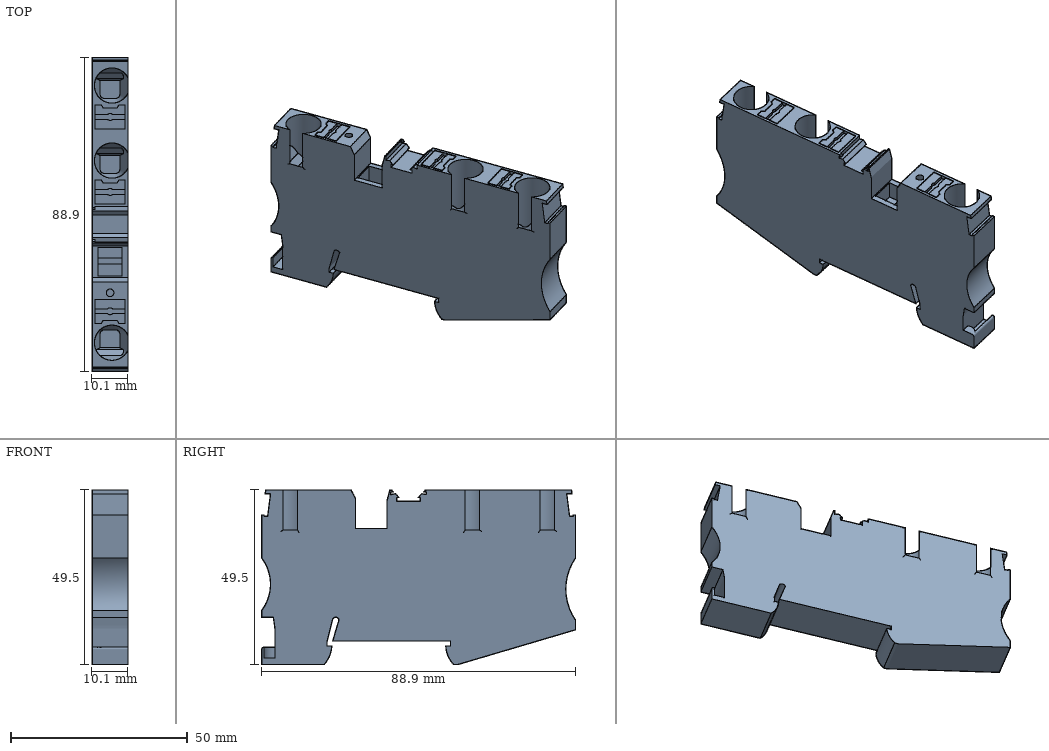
import cadquery as cq


width = 10.1
length = 88.9
height = 49.5
half_width = width / 2
half_length = length / 2

top_end = 43.3
overhang_end = 43.5
overhang_bottom = 48.4
recess_top_end = 42.0
recess_bottom_end = 42.8
shoulder_floor = 42.05
shoulder_lip_end = 43.7
shoulder_top = 42.4
grip_top = 30.2

rear_grip_bottom = 12.6
rear_grip_end = 41.7
front_grip_bottom = 15.4
front_grip_end = 42.0

slant_top = 9.9
slant_end = 11.0
rail_ceiling = 6.7
claw_top = 5.3
claw_middle_height = 2.1
rear_claw_tip = 7.65
rear_claw_middle = 8.45
rear_claw_heel = 10.0
rear_claw_groove = 9.0
front_claw_tip = -24.5
front_claw_middle = -25.3
front_claw_heel = -26.8
release_slot_mouth = -24.4
release_slot_rear = -22.6
release_slot_front = -24.4
release_slot_shoulder = 12.7
release_slot_top = 13.4
front_claw_groove = -25.9

notch_ceiling = 13.4
notch_knee = 11.0
notch_wall_top = 10.1
notch_floor = 5.0
notch_back = -40.7
notch_knee_back = -40.8
notch_ceiling_back = -41.2
notch_lip_rounding = 0.7
notch_lip_edge = notch_lip_rounding - half_length
notch_fin = 2.2
notch_fin_bulge = 0.3
notch_fin_bulge_offset = 0.9
notch_fin_lip = 1.4
notch_well_depth = 3.1

channel_center = -2.85
channel_mouth = 5.0
channel_ledge = 48.2
channel_step = 3.7
channel_step_top = 48.45
channel_lip_tip = 2.7
channel_lip_bottom = 47.3
channel_wall = 3.3
channel_floor = 46.3
hook_length = 0.8
hook_root = 4.8
hook_tip = 4.3
hook_bottom = 48.9

slot_rear = -9.0
slot_front = -17.9
slot_floor = 38.6
slot_rear_top = -8.2
slot_rear_knee = 46.4
slot_front_top = -19.1
slot_front_knee = 47.1
jumper_well_width = 6.85
jumper_well_margin = 0.4
jumper_well_depth = 5.3
jumper_groove_rear = -12.4
jumper_groove_front = -14.1
jumper_groove_depth = 1.8

funnels = [(36.45, -1), (15.2, -1), (-36.4, 1)]
funnel_x = 0.5
funnel_radius = 5.0
funnel_depth = 17.8
funnel_taper = 20.0
throat_left = -2.85
throat_right = 2.8
throat_marker_side = 3.65
throat_far_side = 1.8
throat_corner = 1.25
ramp_foot = 1.4
ramp_bend = 2.0
ramp_bend_rise = 2.7
ramp_top = 3.6
ramp_top_rise = 5.0

marker_width = 8.45
marker_near = 5.5
marker_far = 12.3
marker_depth = 0.2
marker_notch_mouth_half = 2.5
marker_notch_half = 2.0
marker_notch_end = 6.3
marker_groove_center = 8.9
marker_groove_width = 1.3
marker_groove_depth = 1.1
marker_eye_radius = 1.0

probe_y = -22.2
probe_radius = 1.1
probe_depth = 8.9


def end_outline(side):
    """Points of one end face from the top edge down to the finger grip (side: +1 rear, -1 front)."""
    points = [
        (top_end, height),
        (overhang_end, overhang_bottom),
        (recess_top_end, overhang_bottom),
        (recess_bottom_end, shoulder_floor),
        (shoulder_lip_end, shoulder_floor),
        (shoulder_lip_end, shoulder_top),
        (half_length, shoulder_top),
        (half_length, grip_top),
    ]
    return [(side * y, z) for y, z in points]


def channel_outline(side):
    """Points of one half of the label channel, from its mouth down to its floor."""
    points = [
        (channel_mouth, height),
        (channel_mouth, channel_ledge),
        (channel_step, channel_step_top),
        (channel_lip_tip, channel_lip_bottom),
        (channel_wall, channel_lip_bottom),
        (channel_wall, channel_floor),
    ]
    return [(channel_center + side * y, z) for y, z in points]


def polyline_to(wire, points):
    for point in points:
        wire = wire.lineTo(*point)
    return wire


def make_body():
    rear = end_outline(1)
    front = end_outline(-1)
    jumper_slot = [
        (slot_rear_top, height),
        (slot_rear, slot_rear_knee),
        (slot_rear, slot_floor),
        (slot_front, slot_floor),
        (slot_front, slot_front_knee),
        (slot_front_top, height),
    ]
    top = channel_outline(1) + channel_outline(-1)[::-1] + jumper_slot + front

    wire = cq.Workplane("YZ").workplane(offset=-half_width).moveTo(*rear[0])
    wire = polyline_to(wire, top)
    wire = wire.threePointArc(
        (-front_grip_end, (grip_top + front_grip_bottom) / 2), (-half_length, front_grip_bottom)
    )
    wire = polyline_to(wire, [
        (-half_length, notch_ceiling),
        (notch_ceiling_back, notch_ceiling),
        (notch_knee_back, notch_knee),
        (notch_back, notch_wall_top),
        (notch_back, notch_floor),
        (notch_lip_edge, notch_floor),
    ])
    wire = wire.radiusArc((-half_length, notch_floor - notch_lip_rounding), -notch_lip_rounding)
    wire = polyline_to(wire, [(-half_length, 0), (front_claw_heel, 0)])
    wire = wire.threePointArc((front_claw_middle, claw_middle_height), (front_claw_tip, claw_top))
    wire = polyline_to(wire, [
        (front_claw_groove, claw_top),
        (front_claw_groove, rail_ceiling),
        (release_slot_front, release_slot_shoulder),
    ])
    wire = wire.threePointArc(
        ((release_slot_front + release_slot_rear) / 2, release_slot_top),
        (release_slot_rear, release_slot_shoulder),
    )
    wire = polyline_to(wire, [
        (release_slot_mouth, rail_ceiling),
        (rear_claw_groove, rail_ceiling),
        (rear_claw_groove, claw_top),
        (rear_claw_tip, claw_top),
    ])
    wire = wire.threePointArc((rear_claw_middle, claw_middle_height), (rear_claw_heel, 0))
    wire = polyline_to(wire, [(slant_end, 0), (half_length, slant_top), (half_length, rear_grip_bottom)])
    wire = wire.threePointArc(
        (rear_grip_end, (grip_top + rear_grip_bottom) / 2), (half_length, grip_top)
    )
    wire = polyline_to(wire, rear[-2:0:-1])
    return wire.close().extrude(width)


def make_hook(side):
    """Small retaining hook over the label channel, only at the -X end."""
    points = [
        (channel_mouth, height),
        (hook_root, height),
        (hook_tip, hook_bottom),
        (channel_mouth, hook_bottom),
    ]
    outline = [(channel_center + side * y, z) for y, z in points]
    return cq.Workplane("YZ").workplane(offset=-half_width).polyline(outline).close().extrude(hook_length)


def make_funnel(y, toward_marker):
    """Round wire entry drawing in to a throat with two round corners and a ramp on the far side."""
    floor_z = height - funnel_depth
    bore = cq.Workplane("XY", origin=(funnel_x, y, floor_z)).circle(funnel_radius).extrude(funnel_depth)

    marker_edge = y + toward_marker * throat_marker_side
    corner_edge = y + toward_marker * (throat_marker_side - throat_corner)
    far_edge = y - toward_marker * throat_far_side
    bend = toward_marker * throat_corner
    throat = (
        cq.Workplane("XY", origin=(0, 0, floor_z))
        .moveTo(throat_left, far_edge)
        .lineTo(throat_left, corner_edge)
        .radiusArc((throat_left + throat_corner, marker_edge), bend)
        .lineTo(throat_right - throat_corner, marker_edge)
        .radiusArc((throat_right, corner_edge), bend)
        .lineTo(throat_right, far_edge)
        .close()
        .extrude(funnel_depth, taper=-funnel_taper)
    )

    ramp_profile = [
        (ramp_foot, 0),
        (ramp_bend, ramp_bend_rise),
        (ramp_top, ramp_top_rise),
        (ramp_top, 0),
    ]
    ramp = (
        cq.Workplane("YZ", origin=(-half_width, y, floor_z))
        .polyline([(-toward_marker * offset, rise) for offset, rise in ramp_profile])
        .close()
        .extrude(width)
    )
    return bore.intersect(throat).cut(ramp)


def make_marker(y, direction):
    """Panel recess notched clear of the funnel rim, with a groove and a round eye for the screw."""
    half = marker_width / 2
    near = y + direction * marker_near
    notch_end = y + direction * marker_notch_end
    far = y + direction * marker_far
    panel = (
        cq.Workplane("XY", origin=(0, 0, height))
        .moveTo(-half, near)
        .lineTo(-marker_notch_mouth_half, near)
        .lineTo(-marker_notch_half, notch_end)
        .lineTo(marker_notch_half, notch_end)
        .lineTo(marker_notch_mouth_half, near)
        .lineTo(half, near)
        .lineTo(half, far)
        .lineTo(-half, far)
        .close()
        .extrude(-marker_depth)
    )
    groove_plane = cq.Workplane("XY", origin=(0, y + direction * marker_groove_center, height))
    groove = groove_plane.rect(marker_width, marker_groove_width).extrude(-marker_groove_depth)
    eye = groove_plane.circle(marker_eye_radius).extrude(-marker_groove_depth)
    return panel.union(groove).union(eye)


def make_jumper_well():
    """Well in the jumper slot floor, with a deeper groove across its middle."""
    rear = slot_rear - jumper_well_margin
    front = slot_front + jumper_well_margin
    well = (
        cq.Workplane("XY", origin=(0, (rear + front) / 2, slot_floor))
        .rect(jumper_well_width, rear - front)
        .extrude(-jumper_well_depth)
    )
    groove = (
        cq.Workplane("XY", origin=(0, (jumper_groove_rear + jumper_groove_front) / 2, slot_floor))
        .rect(jumper_well_width, jumper_groove_rear - jumper_groove_front)
        .extrude(-jumper_well_depth - jumper_groove_depth)
    )
    return well.union(groove)


def make_notch_well():
    """Well sunk in the notch floor, open at +X and closed by a curved fin at -X."""
    fin_x = notch_fin - half_width
    return (
        cq.Workplane("XY", origin=(0, 0, notch_floor))
        .moveTo(fin_x, notch_back)
        .threePointArc(
            (fin_x + notch_fin_bulge, notch_back - notch_fin_bulge_offset),
            (notch_fin_lip - half_width, notch_lip_edge),
        )
        .lineTo(half_width, notch_lip_edge)
        .lineTo(half_width, notch_back)
        .close()
        .extrude(-notch_well_depth)
    )


result = make_body()
for hook_side in (1, -1):
    result = result.union(make_hook(hook_side))
for funnel_y, marker_direction in funnels:
    result = result.cut(make_funnel(funnel_y, marker_direction))
    result = result.cut(make_marker(funnel_y, marker_direction))
result = result.cut(make_jumper_well())
result = result.cut(make_notch_well())
probe_hole = cq.Workplane("XY", origin=(0, probe_y, height)).circle(probe_radius).extrude(-probe_depth)
result = result.cut(probe_hole)